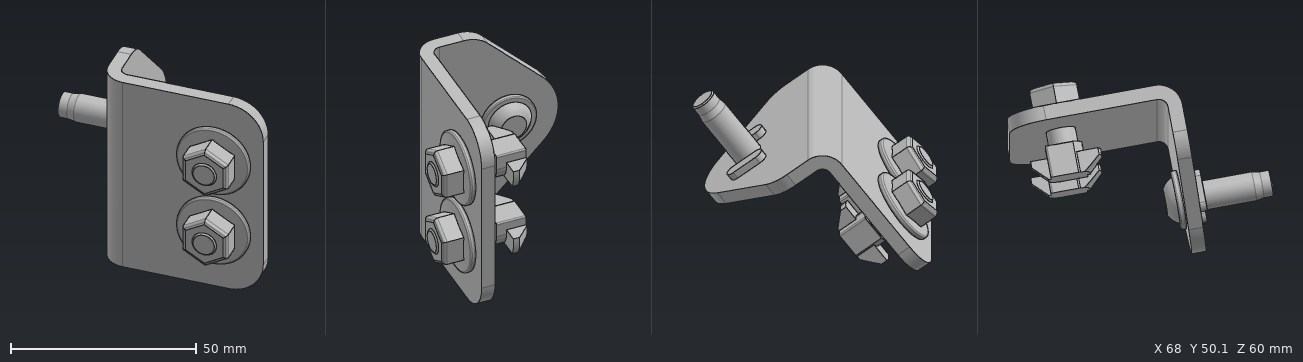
import cadquery as cq
import math


sheet = 4.0
bracket_height = 60.0
plate_length = 47.05
plate_corner_radius = 10.0
bend_inner_radius = 2.5
bend_outer_radius = bend_inner_radius + sheet
nose_radius = 15.0
shoulder_radius = 10.0
key_length = 11.6
key_width = 4.2
key_height = 2.05
key_offset = 8.0

screw_y = 26.5
thread_diameter = 8.0
thread_radius = thread_diameter / 2
screw_reach = 20.95
pilot_radius = 3.6
pilot_length = 2.9
pilot_chamfer = 0.4
lead_in_length = 2.1
head_flange_radius = 8.0
head_flange_thickness = 1.6
head_rim_fillet = 0.35
dome_base_radius = 6.4
dome_top_radius = 3.75
head_height = 4.5
dome_bulge = 0.35

bolt_x = 33.05
bolt_z = 11.3
bolt_tip_y = -8.6
bolt_tip_chamfer = 0.95
neck_start_y = 8.35
head_start_y = 11.3
head_top_y = 17.1
head_radius = 9.7
head_top_radius = 5.8
head_cone_height = head_radius - head_top_radius
neck_half_width = 5.0
neck_half_depth = 4.35
neck_corner_fillet = 0.4
wing_deep_side = 4.0
wing_shallow_side = 1.5

nut_flange_radius = 21.0 / 2
nut_rim_thickness = 1.6
nut_rim_fillet = 0.5
nut_cone_height = 2.05
nut_across_flats = 13.0
nut_height = 8.1
nut_end_slope_height = 0.6
nut_end_taper = 60
nut_edge_fillet = 1.1


def make_bracket(screw, bolts):
    """Bent sheet with raised keys, bored to fit the screw and the bolts."""
    flange_length = screw_y + nose_radius
    angle = (
        cq.Workplane("XY")
        .polyline([
            (0, 0), (plate_length, 0), (plate_length, sheet),
            (sheet, sheet), (sheet, flange_length), (0, flange_length),
        ])
        .close()
        .extrude(bracket_height / 2, both=True)
    )
    angle = angle.edges("|Z").edges(cq.NearestToPointSelector((0, 0, 0))).fillet(bend_outer_radius)
    angle = angle.edges("|Z").edges(cq.NearestToPointSelector((sheet, sheet, 0))).fillet(bend_inner_radius)
    angle = angle.edges("|Y and >X").fillet(plate_corner_radius)

    half_height = bracket_height / 2
    apex_y = screw_y + nose_radius * math.sqrt(2)
    shoulder_y = apex_y - half_height
    outline = (
        cq.Workplane("YZ")
        .polyline([
            (0, -half_height), (shoulder_y, -half_height), (apex_y, 0),
            (shoulder_y, half_height), (0, half_height),
        ])
        .close()
        .extrude(plate_length)
    )
    outline = outline.edges("|X and >Y").fillet(nose_radius)
    for z in (-half_height, half_height):
        corner = cq.NearestToPointSelector((plate_length / 2, shoulder_y, z))
        outline = outline.edges("|X").edges(corner).fillet(shoulder_radius)

    keys = (
        cq.Workplane("YZ")
        .pushPoints([(screw_y, -key_offset), (screw_y, key_offset)])
        .slot2D(key_length, key_width)
        .extrude(-key_height)
    )
    bracket = angle.intersect(outline).union(keys).cut(screw)
    for bolt in bolts:
        bracket = bracket.cut(bolt)
    return bracket


def make_screw():
    """Flange button screw along X, its head seated on the inner face of the side flange."""
    tip_x = -screw_reach
    pilot_end_x = tip_x + pilot_length
    rim_x = sheet + head_flange_thickness
    head_top_x = sheet + head_height

    chord_x = head_top_x - rim_x
    chord_r = dome_base_radius - dome_top_radius
    chord = math.hypot(chord_x, chord_r)
    dome_mid = (
        (rim_x + head_top_x) / 2 + dome_bulge * chord_r / chord,
        (dome_base_radius + dome_top_radius) / 2 + dome_bulge * chord_x / chord,
    )
    shank_and_dome = (
        cq.Workplane("XY")
        .moveTo(tip_x, 0)
        .lineTo(tip_x, pilot_radius - pilot_chamfer)
        .lineTo(tip_x + pilot_chamfer, pilot_radius)
        .lineTo(pilot_end_x, pilot_radius)
        .lineTo(pilot_end_x + lead_in_length, thread_radius)
        .lineTo(rim_x, thread_radius)
        .lineTo(rim_x, dome_base_radius)
        .threePointArc(dome_mid, (head_top_x, dome_top_radius))
        .lineTo(head_top_x, 0)
        .close()
        .revolve(360, (0, 0, 0), (1, 0, 0))
    )
    head_flange = (
        cq.Workplane("YZ", origin=(sheet, 0, 0))
        .circle(head_flange_radius)
        .extrude(head_flange_thickness)
        .faces("<X or >X")
        .edges()
        .fillet(head_rim_fillet)
    )
    return shank_and_dome.union(head_flange).translate((0, screw_y, 0))


def box_between(low, high):
    """Box spanning two opposite corners."""
    size = [b - a for a, b in zip(low, high)]
    return cq.Workplane("XY").box(*size, centered=False).translate(low)


def make_bolt_shank():
    """Threaded shank along Y with a chamfered tip."""
    return (
        cq.Workplane("XZ", origin=(0, head_start_y, 0))
        .circle(thread_radius)
        .extrude(head_start_y - bolt_tip_y)
        .faces("<Y")
        .chamfer(bolt_tip_chamfer)
    )


def make_bolt_neck():
    """Neck block: two opposite corners follow a cylinder, the other two are only eased."""
    half_width = neck_half_width
    half_depth = neck_half_depth
    middle_y = (neck_start_y + head_top_y) / 2
    block = box_between((-half_width, neck_start_y, -half_depth), (half_width, head_top_y, half_depth))
    for side in (-1, 1):
        corner = cq.NearestToPointSelector((side * half_width, middle_y, side * half_depth))
        block = block.edges("|Y").edges(corner).fillet(neck_corner_fillet)
    cylinder = (
        cq.Workplane("XZ", origin=(0, head_top_y, 0))
        .circle(half_width)
        .extrude(head_top_y - neck_start_y)
    )
    square_corners = (
        box_between((0, neck_start_y, 0), (half_width, head_top_y, half_depth))
        .union(box_between((-half_width, neck_start_y, -half_depth), (0, head_top_y, 0)))
    )
    return block.intersect(cylinder.union(square_corners))


def make_bolt_wings():
    """Two wings cut from a turned head; each is offset to the opposite side along Z."""
    turned_head = (
        cq.Workplane("XZ", origin=(0, head_top_y, 0))
        .circle(head_radius)
        .extrude(head_top_y - head_start_y)
        .faces(">Y")
        .chamfer(head_cone_height)
    )
    left = box_between(
        (-head_radius, head_start_y, -wing_shallow_side), (0, head_top_y, wing_deep_side)
    )
    right = left.rotate((0, 0, 0), (0, 1, 0), 180)
    return turned_head.intersect(left.union(right))


def make_bolt(z):
    bolt = make_bolt_shank().union(make_bolt_neck()).union(make_bolt_wings())
    return bolt.translate((bolt_x, 0, z))


def make_nut(z, bolt):
    """Flange nut seated on the front plate, its bore fitting the bolt."""
    flat_radius = nut_across_flats / 2
    flange = (
        cq.Workplane("XY")
        .polyline([
            (0, 0), (nut_flange_radius, 0), (nut_flange_radius, -nut_rim_thickness),
            (flat_radius, -nut_cone_height), (0, -nut_cone_height),
        ])
        .close()
        .revolve(360, (0, 0, 0), (0, 1, 0))
    )
    widest = cq.selectors.RadiusNthSelector(-1)
    flange = flange.edges("%CIRCLE").edges(widest).fillet(nut_rim_fillet)
    hexagon = (
        cq.Workplane("XZ")
        .polygon(6, nut_across_flats, circumscribed=True)
        .extrude(nut_height - nut_end_slope_height)
        .faces("<Y")
        .wires()
        .toPending()
        .extrude(nut_end_slope_height, taper=nut_end_taper)
    )
    slope_start = cq.selectors.BoxSelector(
        (-nut_across_flats, -nut_height + nut_end_slope_height / 2, -nut_across_flats),
        (nut_across_flats, -nut_height / 2 - nut_end_slope_height, nut_across_flats),
    )
    hexagon = hexagon.edges("#Y").edges(slope_start).fillet(nut_edge_fillet)
    return flange.union(hexagon).translate((bolt_x, 0, z)).cut(bolt)


screw = make_screw()
bolts = []
nuts = []
for z in (-bolt_z, bolt_z):
    bolt = make_bolt(z)
    bolts.append(bolt)
    nuts.append(make_nut(z, bolt))
bracket = make_bracket(screw, bolts)

result = cq.Compound.makeCompound([
    bracket.val(),
    screw.val(),
    *[bolt.val() for bolt in bolts],
    *[nut.val() for nut in nuts],
])